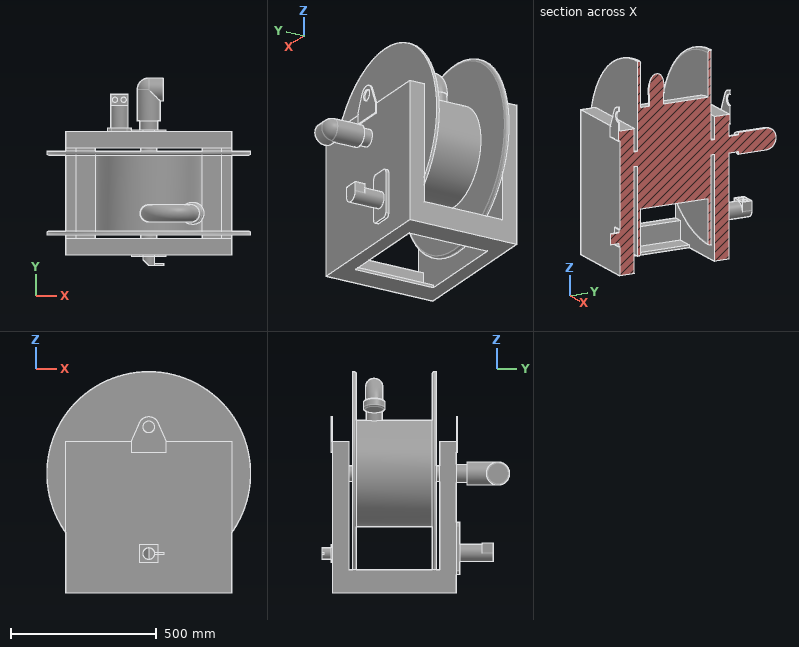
import cadquery as cq
import math

frame_width = 570.0
frame_depth = 425.0
wall_height = 520.0
wall_thickness = 57.5
sill_height = 80.0
sill_width = 36.0
ledge_thickness = 10.0

axis_height = 410.0
drum_diameter = 366.0
drum_length = 260.0
disc_diameter = 700.0
disc_thickness = 14.0
disc_edge_radius = 8.0
shaft_diameter = 55.0

swivel_neck_diameter = 62.0
swivel_neck_length = 36.0
elbow_diameter = 80.0
elbow_length = 147.0
elbow_reach = 51.0
elbow_mouth_radius = 4.0

motor_x = -101.0
motor_height = 138.0
motor_diameter = 60.0
motor_reach = 127.0
flange_width = 82.0
flange_height = 180.0
flange_thickness = 12.0
flange_centre_height = 153.5
flange_corner_radius = 14.0
port_block_length = 38.0
port_block_height = 34.0
port_diameter = 18.0
port_spacing = 30.0
port_depth = 20.0

lug_width = 120.0
lug_thickness = 5.0
lug_overlap = 37.0
lug_eye_height = 570.0
lug_top_radius = 35.0
lug_hole_diameter = 40.0

valve_height = 135.5
valve_plate_size = 62.0
valve_plate_thickness = 4.0
knob_diameter = 40.0
knob_reach = 36.0
lever_tip_x = 52.0
lever_depth = 8.0
lever_height = 6.0

outlet_y = -69.0
outlet_neck_diameter = 56.0
outlet_neck_top = 632.0
bend_tube_diameter = 60.0
bend_radius = 75.0
bend_angle = 160.0
collar_diameter = 75.0
collar_length = 30.0
collar_edge_radius = 5.0

wall_face = frame_depth / 2
wall_gap = frame_depth - 2 * wall_thickness


def block(x_range, y_range, z_range):
    """Axis-aligned box from its lower and upper limits."""
    lower = (x_range[0], y_range[0], z_range[0])
    size = (x_range[1] - x_range[0], y_range[1] - y_range[0], z_range[1] - z_range[0])
    return cq.Workplane("XY").box(*size, centered=False).translate(lower)


def rod(start, direction, diameter, length):
    """Round bar from a start point along a direction."""
    return cq.Workplane(
        cq.Solid.makeCylinder(diameter / 2, length, cq.Vector(*start), cq.Vector(*direction))
    )


def make_frame():
    body = (
        cq.Workplane("XY")
        .box(frame_width, frame_depth, wall_height, centered=(True, True, False))
    )
    above_sills = (
        cq.Workplane("XY")
        .box(frame_width, wall_gap, wall_height, centered=(True, True, False))
        .translate((0, 0, sill_height))
    )
    between_sills = (
        cq.Workplane("XY")
        .box(frame_width - 2 * sill_width, wall_gap, wall_height, centered=(True, True, False))
        .translate((0, 0, ledge_thickness))
    )
    floor_opening = cq.Workplane("XY").box(drum_diameter, wall_gap, wall_height)
    return body.cut(above_sills).cut(between_sills).cut(floor_opening)


def make_disc(side):
    """Reel disc whose drum-side rim is rounded; side is +1 at the rear, -1 at the front."""
    inner_face = (0, side * drum_length / 2, axis_height)
    disc = rod(inner_face, (0, side, 0), disc_diameter, disc_thickness)
    inner_edge = ">Y" if side < 0 else "<Y"
    return disc.faces(inner_edge).edges().fillet(disc_edge_radius)


def make_reel():
    drum = rod((0, -drum_length / 2, axis_height), (0, 1, 0), drum_diameter, drum_length)
    shaft = rod((0, -wall_face, axis_height), (0, 1, 0), shaft_diameter, frame_depth)
    return drum.union(shaft).union(make_disc(1)).union(make_disc(-1))


def make_swivel():
    elbow_start = wall_face + swivel_neck_length
    corner_y = elbow_start + elbow_length - elbow_diameter / 2
    corner = (0, corner_y, axis_height)
    neck = rod((0, wall_face, axis_height), (0, 1, 0), swivel_neck_diameter, swivel_neck_length)
    inlet = rod((0, elbow_start, axis_height), (0, 1, 0), elbow_diameter, corner_y - elbow_start)
    ball = cq.Workplane("XY").sphere(elbow_diameter / 2).translate(corner)
    outlet = rod(corner, (1, 0, 0), elbow_diameter, elbow_reach)
    outlet = outlet.faces(">X").edges().fillet(elbow_mouth_radius)
    return neck.union(inlet).union(ball).union(outlet)


def make_motor():
    flange = (
        cq.Workplane("XY")
        .box(flange_width, flange_thickness, flange_height)
        .edges("|Y")
        .fillet(flange_corner_radius)
        .translate((motor_x, wall_face + flange_thickness / 2, flange_centre_height))
    )
    barrel = rod((motor_x, wall_face, motor_height), (0, 1, 0), motor_diameter, motor_reach)
    motor_end = wall_face + motor_reach
    block_top = motor_height + port_block_height
    port_block = block(
        (motor_x - motor_diameter / 2, motor_x + motor_diameter / 2),
        (motor_end - port_block_length, motor_end),
        (motor_height, block_top),
    )
    motor = flange.union(barrel).union(port_block)
    for side in (-1, 1):
        port_mouth = (motor_x + side * port_spacing / 2, motor_end - port_block_length / 2, block_top)
        motor = motor.cut(rod(port_mouth, (0, 0, -1), port_diameter, port_depth))
    return motor


def make_lug(start_y):
    """Tapered lug with a round eye; its thickness runs from start_y toward +Y."""
    half_width = lug_width / 2
    rise = lug_eye_height - wall_height
    eye_distance = math.hypot(half_width, rise)
    tangent_angle = math.acos(lug_top_radius / eye_distance) - math.atan2(rise, half_width)
    tangent_x = lug_top_radius * math.cos(tangent_angle)
    tangent_z = lug_eye_height + lug_top_radius * math.sin(tangent_angle)
    outline = (
        cq.Workplane("XZ", origin=(0, start_y + lug_thickness, 0))
        .moveTo(-half_width, wall_height - lug_overlap)
        .lineTo(half_width, wall_height - lug_overlap)
        .lineTo(half_width, wall_height)
        .lineTo(tangent_x, tangent_z)
        .threePointArc((0, lug_eye_height + lug_top_radius), (-tangent_x, tangent_z))
        .lineTo(-half_width, wall_height)
        .close()
        .extrude(lug_thickness)
    )
    eye = rod((0, start_y, lug_eye_height), (0, 1, 0), lug_hole_diameter, lug_thickness)
    return outline.cut(eye)


def make_valve():
    knob_radius = knob_diameter / 2
    knob_end = -wall_face - knob_reach
    plate = (
        cq.Workplane("XY")
        .box(valve_plate_size, valve_plate_thickness, valve_plate_size)
        .translate((0, -wall_face - valve_plate_thickness / 2, valve_height))
    )
    knob = rod((0, -wall_face, valve_height), (0, -1, 0), knob_diameter, knob_reach)
    bevel = (
        cq.Workplane("XY", origin=(0, 0, valve_height - knob_radius))
        .polyline([(0, knob_end), (-knob_radius, knob_end), (-knob_radius, knob_end + knob_radius)])
        .close()
        .extrude(knob_diameter)
    )
    lever = block(
        (0, lever_tip_x),
        (knob_end, knob_end + lever_depth),
        (valve_height - lever_height / 2, valve_height + lever_height / 2),
    )
    return plate.union(knob.cut(bevel)).union(lever)


def make_hose_outlet():
    neck = rod(
        (0, outlet_y, axis_height), (0, 0, 1), outlet_neck_diameter, outlet_neck_top - axis_height
    )
    turn = math.radians(bend_angle)

    def bend_point(angle):
        return (bend_radius * (1 - math.cos(angle)), outlet_neck_top + bend_radius * math.sin(angle))

    bend_path = (
        cq.Workplane("XZ", origin=(0, outlet_y, 0))
        .moveTo(*bend_point(0))
        .threePointArc(bend_point(turn / 2), bend_point(turn))
    )
    bend = (
        cq.Workplane("XY", origin=(0, outlet_y, outlet_neck_top))
        .circle(bend_tube_diameter / 2)
        .sweep(bend_path)
    )
    end_x, end_z = bend_point(turn)
    end_direction = (math.sin(turn), 0, math.cos(turn))
    collar = rod((end_x, outlet_y, end_z), end_direction, collar_diameter, collar_length)
    collar = collar.edges("%CIRCLE").fillet(collar_edge_radius)
    return neck.union(bend).union(collar)


result = (
    make_frame()
    .union(make_reel())
    .union(make_swivel())
    .union(make_motor())
    .union(make_lug(wall_face))
    .union(make_lug(-wall_face - lug_thickness))
    .union(make_valve())
    .union(make_hose_outlet())
)